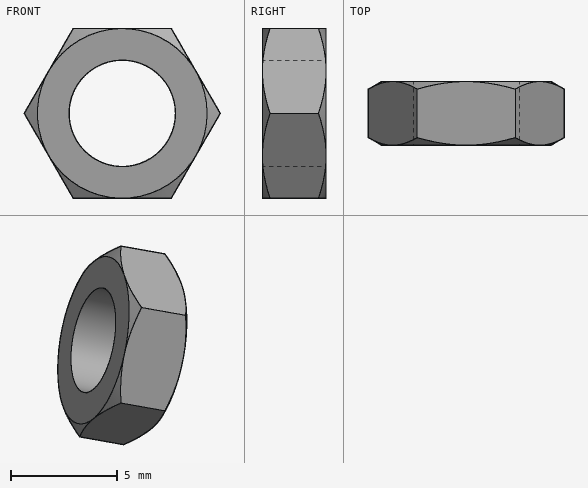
import cadquery as cq
import math

across_corners = 9.24
thickness = 3.0
bore_diameter = 5.0
face_diameter = 7.99
chamfer_angle = 30.0

corner_radius = across_corners / 2
face_radius = face_diameter / 2
half_thickness = thickness / 2


def hexagonal_blank():
    """Plain hexagonal prism centred on the origin."""
    return (
        cq.Workplane("XZ")
        .polygon(6, across_corners)
        .extrude(half_thickness, both=True)
    )


def chamfer_envelope():
    """Turned disc with conical edges, wide enough to trim only the corners."""
    overhang = 0.09
    rim_radius = corner_radius + overhang
    chamfer_depth = (rim_radius - face_radius) * math.tan(math.radians(chamfer_angle))
    rim_half_height = half_thickness - chamfer_depth
    return (
        cq.Workplane("XY")
        .moveTo(0, -half_thickness)
        .lineTo(face_radius, -half_thickness)
        .lineTo(rim_radius, -rim_half_height)
        .lineTo(rim_radius, rim_half_height)
        .lineTo(face_radius, half_thickness)
        .lineTo(0, half_thickness)
        .close()
        .revolve(360, (0, 0, 0), (0, 1, 0))
    )


def bore():
    """Cylinder that opens the plain through hole."""
    return cq.Workplane("XZ").circle(bore_diameter / 2).extrude(thickness, both=True)


result = hexagonal_blank().intersect(chamfer_envelope()).cut(bore())